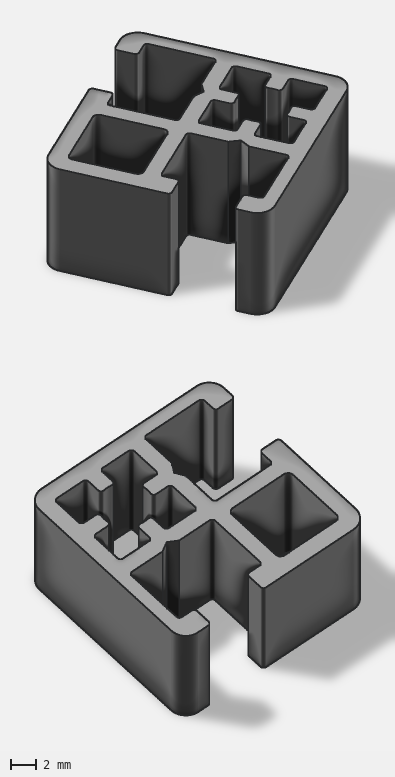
import cadquery as cq

side = 19.0
length = 10.0
outer_radius = 1.5
small_radius = 0.3

cell_center = 13.49

mouth_width = 5.35
lip_depth = 2.0
slot_width = 8.59
slot_floor = 8.02
groove_width = 1.75
groove_depth = 0.51

hollow_start = 1.54
hollow_size = 6.25
hollow_radius = 0.5

chamber_size = 7.98
tooth_width = 1.46
bore_radius = 2.25


def square_prism(size, center):
    """Square prism of full length, centred on the diagonal."""
    return cq.Workplane("XY").center(center, center).rect(size, size).extrude(length)


def mirror_diagonal(solid):
    """Swap x and y, by a quarter turn followed by a mirror."""
    return solid.rotate((0, 0, 0), (0, 0, 1), 90).mirror("YZ")


def make_slot():
    """T-slot space with rounded corners and a V groove in its floor."""
    half_mouth = mouth_width / 2
    half_slot = slot_width / 2
    slot = (
        cq.Workplane("XY")
        .moveTo(0, cell_center - half_mouth)
        .lineTo(lip_depth, cell_center - half_mouth)
        .lineTo(lip_depth, cell_center - half_slot)
        .lineTo(slot_floor, cell_center - half_slot)
        .lineTo(slot_floor, cell_center + half_slot)
        .lineTo(lip_depth, cell_center + half_slot)
        .lineTo(lip_depth, cell_center + half_mouth)
        .lineTo(0, cell_center + half_mouth)
        .close()
        .extrude(length)
    )
    slot = slot.edges("|Z and (not <X)").fillet(small_radius)
    groove = (
        cq.Workplane("XY")
        .moveTo(slot_floor, cell_center - groove_width / 2)
        .lineTo(slot_floor + groove_depth, cell_center)
        .lineTo(slot_floor, cell_center + groove_width / 2)
        .close()
        .extrude(length)
    )
    return slot.union(groove)


def make_chamber():
    """Square chamber whose teeth end on a round screw bore."""
    chamber = square_prism(chamber_size, cell_center)
    for bar_size in [(chamber_size, tooth_width), (tooth_width, chamber_size)]:
        bar = cq.Workplane("XY").center(cell_center, cell_center).rect(*bar_size).extrude(length)
        chamber = chamber.cut(bar)
    bore = cq.Workplane("XY").center(cell_center, cell_center).circle(bore_radius).extrude(length)
    return chamber.union(bore).edges("|Z").fillet(small_radius)


def round_mouth(solid):
    """Round the outer lip edges of the slot on the x = 0 side."""
    reach = mouth_width / 2 + small_radius
    mouth = cq.selectors.BoxSelector(
        (-small_radius, cell_center - reach, 0),
        (small_radius, cell_center + reach, length),
    )
    return solid.edges("|Z").edges(mouth).fillet(small_radius)


body = square_prism(side, side / 2).edges("|Z").fillet(outer_radius)

slot = make_slot()
for _ in range(2):
    body = mirror_diagonal(round_mouth(body.cut(slot)))

hollow = square_prism(hollow_size, hollow_start + hollow_size / 2)
body = body.cut(hollow.edges("|Z").fillet(hollow_radius))

result = body.cut(make_chamber())